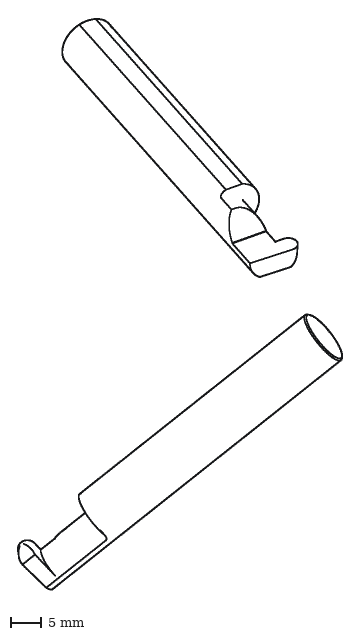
import cadquery as cq

total_length = 63.5
shank_diameter = 9.5
shank_radius = shank_diameter / 2
shank_length = 49.4
flat_height = 4.5
rear_chamfer = 0.25

neck_radius = 3.8
neck_side = 1.65
neck_axis_y = neck_side - neck_radius
neck_fillet = 0.75

rake_start = 57.3
rake_step = 0.1
hook_width = 3.2
hook_radius = hook_width / 2
hook_start = total_length - hook_width
hook_axis_x = total_length - hook_radius
hook_axis_y = shank_radius - hook_radius
end_relief = 0.3
clearance_angle = 3.0

reach = shank_diameter


def make_rod():
    """Full-length round bar with a chamfered rear end."""
    rod = cq.Workplane("YZ").circle(shank_radius).extrude(total_length)
    rod = rod.faces("<X").chamfer(rear_chamfer)
    return rod.rotate((0, 0, 0), (1, 0, 0), -90)


def make_body_envelope():
    """Oversize shank block and round-sided neck, blended by a fillet."""
    shank = cq.Workplane("YZ").rect(2 * reach, 2 * reach).extrude(shank_length)
    neck = (
        cq.Workplane("YZ")
        .moveTo(-reach, -neck_radius)
        .lineTo(neck_axis_y, -neck_radius)
        .threePointArc((neck_side, 0), (neck_axis_y, neck_radius))
        .lineTo(-reach, neck_radius)
        .close()
        .extrude(total_length)
    )
    neck_root = cq.selectors.BoxSelector(
        (shank_length - neck_fillet, -2 * reach, -reach / 2),
        (shank_length + neck_fillet, reach / 2, reach / 2),
    )
    root_edges = shank.union(neck).faces(">X[-2]").edges(neck_root)
    return root_edges.fillet(neck_fillet)


def make_hook_envelope():
    """Hook with a full-round tip and a slightly tapered end face."""
    relief_slope = end_relief / (hook_axis_y + shank_radius)
    outer_end = total_length - relief_slope * (hook_axis_y + reach)
    return (
        cq.Workplane("XY")
        .moveTo(hook_start, -reach)
        .lineTo(hook_start, hook_axis_y)
        .threePointArc((hook_axis_x, shank_radius), (total_length, hook_axis_y))
        .lineTo(outer_end, -reach)
        .close()
        .extrude(-neck_radius, taper=clearance_angle)
    )


def make_top_cutter():
    """Space above the clamping flat, and above the 45 degree ramp, step and rake face."""
    return (
        cq.Workplane("XZ")
        .moveTo(0, flat_height)
        .lineTo(rake_start - (flat_height - rake_step), flat_height)
        .lineTo(rake_start, rake_step)
        .lineTo(rake_start, 0)
        .lineTo(total_length, 0)
        .lineTo(total_length, reach)
        .lineTo(0, reach)
        .close()
        .extrude(reach, both=True)
    )


neck_limit = cq.Workplane("YZ").rect(4 * reach, 4 * reach).extrude(hook_axis_x)
envelope = make_body_envelope().intersect(neck_limit).union(make_hook_envelope())
result = make_rod().intersect(envelope).cut(make_top_cutter())